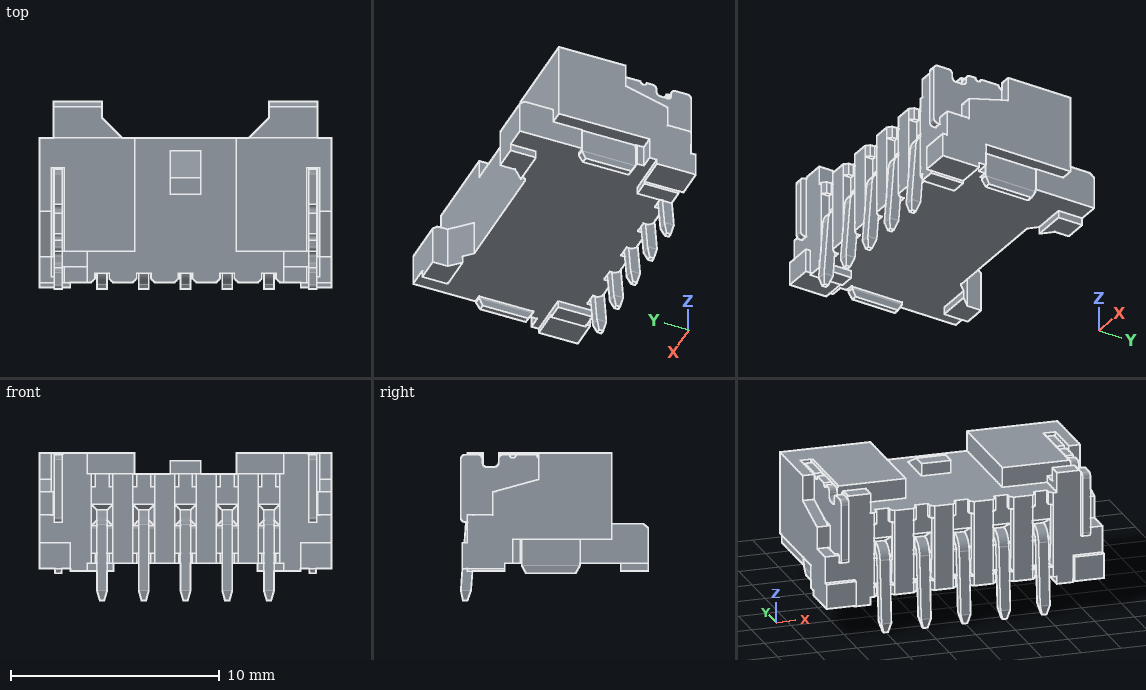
import cadquery as cq
import math


HOUSING_W = 14.0
HALF_W = HOUSING_W / 2
HOUSING_BACK = 6.93
HOUSING_TOP = 5.67
HOUSING_BOTTOM = 0.38
DECK_Z = 4.67
BLOCK_INNER_X = 2.44
BLOCK_FRONT_Y = 1.5
POST_INNER_X = 4.7
POST_BACK_Y = 0.76
POST_GAP_Z = 5.0

FOOT_BACK_Y = 1.8
LEG_INNER_X = 5.52
LEG_BOTTOM = 0.13
LEG_BACK_Y = 2.18
PAD_PROUD = 0.25
PAD_TOP = 1.37
ARM_OUTER_X = 6.33
ARM_INNER_X = 4.0
ARM_ROOT_X = 3.03
ARM_BACK = 8.68
ARM_TOP = 2.28
ARM_BEVEL_Y = 0.25
ARM_BEVEL_Z = 0.2
ARM_FOOT_FRONT_Y = 7.35
ARM_FOOT_OUTER_X = 5.23
ARM_TAPER_BACK_Y = HOUSING_BACK + ARM_INNER_X - ARM_ROOT_X
SIDE_RECESS_TOP = 1.53

LATCH_W = 1.48
LATCH_FRONT_Y = 4.22
LATCH_PEAK_Y = 5.03
LATCH_BACK_Y = 6.31
LATCH_TOP = 5.3

CUTAWAY_BACK_Y = 3.42
CUTAWAY_STEP_Y = 1.23
CUTAWAY_HIGH_Z = 4.4
CUTAWAY_LOW_Z = 3.8
CUTAWAY_FLOOR_Z = 2.7

NAIL_INNER_X = 5.9
NAIL_T = 0.39
NAIL_OUTER_X = NAIL_INNER_X + NAIL_T
NAIL_FRONT = -0.32
NAIL_BACK = 5.43
NAIL_TOP = 5.59
NAIL_LOW = 2.35
NAIL_FILLET = 0.22
NAIL_GAP_FRONT_Y = 0.72
NAIL_GAP_BACK_Y = BLOCK_FRONT_Y
NAIL_DIMPLES = ((3.54, 0.21), (2.18, 0.16))
TAB_FRONT, TAB_BACK = 2.6, 5.41
TAB_BOTTOM = -0.1
TAB_TAPER_TOP = 0.28
TAB_END_TAPER = 0.21
TAB_FACE_TAPER = 0.04
SLOT_OUTER_X = 6.43
SLOT_LOWER_OUTER_X = ARM_OUTER_X
LEAD_IN = HOUSING_TOP - NAIL_TOP
SLOT_FRONT_Y, SLOT_BACK_Y = 0.28, 5.5
TAB_WINDOW_FRONT_Y = 2.54

PIN_COUNT = 5
PITCH = 2.0
PIN_W = 0.5
PIN_TOP = 2.94
PIN_LEAN = math.radians(4.3)
BEND_OUTER_R = 0.75
BEND_INNER_R = BEND_OUTER_R - PIN_W
BEND_Y = 0.67
BEND_Z = PIN_TOP - BEND_OUTER_R
PIN_REAR_Y = 3.0
SHOULDER_Z = -0.91
TIP_Z = -1.41
TIP_W = 0.22
TIP_Y = -0.1

CHANNEL_W = 1.05
CHANNEL_DEPTH = 0.44
CHANNEL_TOP = 4.05
CHANNEL_BOTTOM = 0.86
CHANNEL_LEDGE_Z = 2.09
CHANNEL_SLOPE_DEPTH = 0.13
NOTCH_W = 0.67
NOTCH_BEVEL = (CHANNEL_W - NOTCH_W) / 2
FUNNEL_W = 1.02
FUNNEL_DEPTH = 0.25


def block(x0, x1, y0, y1, z0, z1):
    return cq.Workplane("XY").box(x1 - x0, y1 - y0, z1 - z0, centered=False).translate((x0, y0, z0))


def side_profile(points, x0, x1):
    """Prism between two X positions from an outline of (Y, Z) points."""
    return cq.Workplane("YZ").workplane(offset=x0).polyline(points).close().extrude(x1 - x0)


def both_sides(shape):
    return shape.union(shape.mirror("YZ"))



def leg_y(z, start_y, start_z):
    """Y of a leaning leg edge at height z."""
    return start_y - (start_z - z) * math.tan(PIN_LEAN)


def bend_point(radius, angle):
    return (BEND_Y - radius * math.cos(angle), BEND_Z + radius * math.sin(angle))


def pin_at(x):
    mid_angle = (math.pi / 2 + PIN_LEAN) / 2
    outer_end = bend_point(BEND_OUTER_R, PIN_LEAN)
    inner_end = bend_point(BEND_INNER_R, PIN_LEAN)
    side = (
        cq.Workplane("YZ").workplane(offset=-PIN_W / 2)
        .moveTo(PIN_REAR_Y, PIN_TOP)
        .lineTo(BEND_Y, PIN_TOP)
        .threePointArc(bend_point(BEND_OUTER_R, mid_angle), outer_end)
        .lineTo(leg_y(SHOULDER_Z, *outer_end), SHOULDER_Z)
        .lineTo(TIP_Y - TIP_W / 2, TIP_Z)
        .lineTo(TIP_Y + TIP_W / 2, TIP_Z)
        .lineTo(leg_y(SHOULDER_Z, *inner_end), SHOULDER_Z)
        .lineTo(*inner_end)
        .threePointArc(bend_point(BEND_INNER_R, mid_angle), (BEND_Y, PIN_TOP - PIN_W))
        .lineTo(PIN_REAR_Y, PIN_TOP - PIN_W)
        .close()
        .extrude(PIN_W)
    )
    front = (
        cq.Workplane("XZ").workplane(offset=-PIN_REAR_Y)
        .polyline([
            (-PIN_W / 2, PIN_TOP), (PIN_W / 2, PIN_TOP), (PIN_W / 2, SHOULDER_Z),
            (TIP_W / 2, TIP_Z), (-TIP_W / 2, TIP_Z), (-PIN_W / 2, SHOULDER_Z),
        ])
        .close()
        .extrude(2 * PIN_REAR_Y)
    )
    return side.intersect(front).translate((x, 0, 0))



def nail_plate():
    plate = block(NAIL_INNER_X, NAIL_OUTER_X, NAIL_FRONT, NAIL_BACK, NAIL_LOW, NAIL_TOP)
    gap = block(NAIL_INNER_X, NAIL_OUTER_X, NAIL_GAP_FRONT_Y, NAIL_GAP_BACK_Y, POST_GAP_Z, NAIL_TOP)
    plate = plate.cut(gap).edges("|X").fillet(NAIL_FILLET)
    for dimple_y, radius in NAIL_DIMPLES:
        dimple = (
            cq.Workplane("YZ").workplane(offset=NAIL_INNER_X)
            .center(dimple_y, NAIL_TOP).circle(radius).extrude(NAIL_T)
        )
        plate = plate.cut(dimple)
    return plate


def nail_tab():
    tab_top = NAIL_LOW + NAIL_FILLET
    side = side_profile([
        (TAB_BACK, tab_top), (TAB_BACK, TAB_TAPER_TOP), (TAB_BACK - TAB_END_TAPER, TAB_BOTTOM),
        (TAB_FRONT + TAB_END_TAPER, TAB_BOTTOM), (TAB_FRONT, TAB_TAPER_TOP), (TAB_FRONT, tab_top),
    ], NAIL_INNER_X, NAIL_OUTER_X)
    front = (
        cq.Workplane("XZ").workplane(offset=-TAB_BACK)
        .polyline([
            (NAIL_INNER_X, tab_top), (NAIL_OUTER_X, tab_top), (NAIL_OUTER_X, TAB_TAPER_TOP),
            (NAIL_OUTER_X - TAB_FACE_TAPER, TAB_BOTTOM), (NAIL_INNER_X + TAB_FACE_TAPER, TAB_BOTTOM),
            (NAIL_INNER_X, TAB_TAPER_TOP),
        ])
        .close()
        .extrude(TAB_BACK - TAB_FRONT)
    )
    return side.intersect(front)



def arm():
    """Rear arm on the +X side with a 45 degree inner flank and a foot at its end."""
    outline = (
        cq.Workplane("XY")
        .polyline([
            (ARM_OUTER_X, HOUSING_BACK), (ARM_OUTER_X, ARM_BACK), (ARM_INNER_X, ARM_BACK),
            (ARM_INNER_X, ARM_TAPER_BACK_Y), (ARM_ROOT_X, HOUSING_BACK),
        ])
        .close()
        .extrude(ARM_TOP)
    )
    profile = side_profile([
        (HOUSING_BACK, ARM_TOP), (ARM_BACK - ARM_BEVEL_Y, ARM_TOP), (ARM_BACK, ARM_TOP - ARM_BEVEL_Z),
        (ARM_BACK, 0), (ARM_FOOT_FRONT_Y, 0), (ARM_FOOT_FRONT_Y, HOUSING_BOTTOM),
        (HOUSING_BACK, HOUSING_BOTTOM),
    ], 0, HALF_W)
    outer_relief = block(ARM_FOOT_OUTER_X, ARM_OUTER_X, ARM_FOOT_FRONT_Y, ARM_BACK, 0, HOUSING_BOTTOM)
    return outline.intersect(profile).cut(outer_relief)


def side_cutaway():
    return side_profile([
        (CUTAWAY_BACK_Y, HOUSING_TOP), (CUTAWAY_BACK_Y, CUTAWAY_HIGH_Z),
        (CUTAWAY_STEP_Y, CUTAWAY_LOW_Z), (CUTAWAY_STEP_Y, CUTAWAY_FLOOR_Z),
        (0, CUTAWAY_FLOOR_Z), (0, HOUSING_TOP),
    ], NAIL_INNER_X, HALF_W)


def side_additions():
    """Arm, front foot and front pad of the +X side."""
    foot = block(POST_INNER_X, LEG_INNER_X, 0, FOOT_BACK_Y, 0, HOUSING_BOTTOM)
    leg = block(LEG_INNER_X, HALF_W, 0, FOOT_BACK_Y, LEG_BOTTOM, HOUSING_BOTTOM)
    pad = block(LEG_INNER_X, HALF_W, -PAD_PROUD, 0, LEG_BOTTOM, PAD_TOP)
    return arm().union(foot).union(leg).union(pad)


def nail_slot():
    """Stepped slot around the nail plate, with a lead-in bevel that runs out through the front."""
    upper = block(NAIL_INNER_X, SLOT_OUTER_X, SLOT_FRONT_Y, SLOT_BACK_Y, CUTAWAY_LOW_Z, HOUSING_TOP)
    lower = block(NAIL_INNER_X, SLOT_LOWER_OUTER_X, SLOT_FRONT_Y, SLOT_BACK_Y, NAIL_LOW, CUTAWAY_LOW_Z)
    lead_in = (
        cq.Workplane("XZ").workplane(offset=-SLOT_BACK_Y)
        .polyline([
            (NAIL_INNER_X - LEAD_IN, HOUSING_TOP), (NAIL_OUTER_X, HOUSING_TOP),
            (NAIL_OUTER_X, HOUSING_TOP - LEAD_IN), (NAIL_INNER_X, HOUSING_TOP - LEAD_IN),
        ])
        .close()
        .extrude(SLOT_BACK_Y)
    )
    ledge_gap = block(NAIL_INNER_X, SLOT_OUTER_X, SLOT_FRONT_Y, CUTAWAY_STEP_Y, NAIL_LOW, CUTAWAY_FLOOR_Z)
    return upper.union(lower).union(ledge_gap).union(lead_in)


def side_cuts():
    """Cutaway, nail slot, post gap and lower recesses of the +X side."""
    post_gap = block(POST_INNER_X, HALF_W, POST_BACK_Y, BLOCK_FRONT_Y, POST_GAP_Z, HOUSING_TOP)
    recess = block(ARM_OUTER_X, HALF_W, LEG_BACK_Y, HOUSING_BACK, 0, SIDE_RECESS_TOP)
    tab_window = block(NAIL_INNER_X, HALF_W, TAB_WINDOW_FRONT_Y, TAB_BACK, 0, SIDE_RECESS_TOP)
    return side_cutaway().union(nail_slot()).union(post_gap).union(recess).union(tab_window)


def bevelled_notch(x, z0, z1):
    """Notch in the front edge: bevelled at the mouth, straight behind."""
    half_mouth = CHANNEL_W / 2
    half_notch = NOTCH_W / 2
    return (
        cq.Workplane("XY").workplane(offset=z0)
        .polyline([
            (x - half_mouth, 0), (x - half_notch, NOTCH_BEVEL), (x - half_notch, CHANNEL_DEPTH),
            (x + half_notch, CHANNEL_DEPTH), (x + half_notch, NOTCH_BEVEL), (x + half_mouth, 0),
        ])
        .close()
        .extrude(z1 - z0)
    )


def pin_channel(x):
    """Channel, end notches and pin funnel for the pin at x."""
    channel = side_profile([
        (0, CHANNEL_TOP), (CHANNEL_DEPTH, CHANNEL_TOP), (CHANNEL_DEPTH, CHANNEL_LEDGE_Z),
        (CHANNEL_DEPTH + CHANNEL_SLOPE_DEPTH, CHANNEL_BOTTOM), (0, CHANNEL_BOTTOM),
    ], x - CHANNEL_W / 2, x + CHANNEL_W / 2)
    funnel = (
        cq.Workplane("XZ", origin=(x, CHANNEL_DEPTH, PIN_TOP - PIN_W / 2))
        .rect(FUNNEL_W, FUNNEL_W)
        .workplane(offset=-FUNNEL_DEPTH)
        .rect(PIN_W, PIN_W)
        .loft()
    )
    upper = bevelled_notch(x, CHANNEL_TOP, DECK_Z)
    lower = bevelled_notch(x, HOUSING_BOTTOM, CHANNEL_BOTTOM)
    return channel.union(funnel).union(upper).union(lower)


def latch():
    return side_profile([
        (LATCH_FRONT_Y, DECK_Z), (LATCH_FRONT_Y, LATCH_TOP),
        (LATCH_PEAK_Y, LATCH_TOP), (LATCH_BACK_Y, DECK_Z),
    ], -LATCH_W / 2, LATCH_W / 2)


def build_housing(pins, nails):
    body = block(-HALF_W, HALF_W, 0, HOUSING_BACK, HOUSING_BOTTOM, HOUSING_TOP)
    body = body.cut(block(-BLOCK_INNER_X, BLOCK_INNER_X, 0, HOUSING_BACK, DECK_Z, HOUSING_TOP))
    body = body.cut(block(-POST_INNER_X, POST_INNER_X, 0, BLOCK_FRONT_Y, DECK_Z, HOUSING_TOP))
    body = body.cut(both_sides(side_cuts()))
    body = body.union(both_sides(side_additions())).union(latch())
    for x in pin_positions:
        body = body.cut(pin_channel(x))
    for insert in pins + nails:
        body = body.cut(insert)
    return body


pin_positions = [(i - (PIN_COUNT - 1) / 2) * PITCH for i in range(PIN_COUNT)]
pins = [pin_at(x) for x in pin_positions]
right_nail = nail_plate().union(nail_tab())
nails = [right_nail, right_nail.mirror("YZ")]
housing = build_housing(pins, nails)

result = cq.Compound.makeCompound([body.solids().val() for body in [housing] + pins + nails])